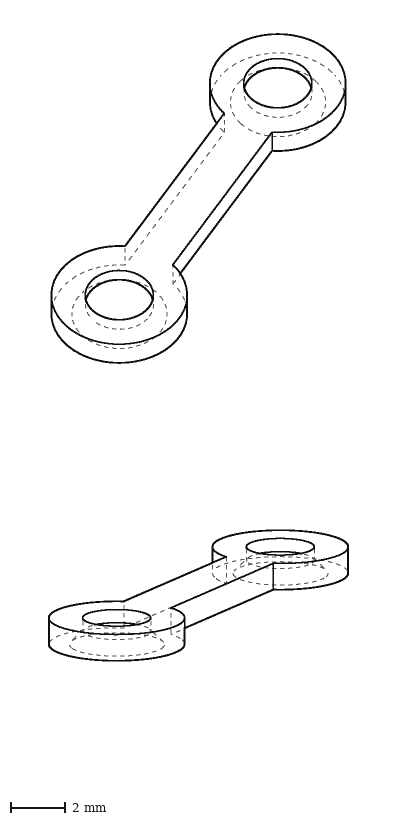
import cadquery as cq

length = 17.25
ring_diameter = 5.0
hole_diameter = 2.5
countersink_diameter = 3.5
bar_width = 2.0
thickness = 1.0

countersink_depth = thickness / 2

ring_spacing = length - ring_diameter
ring_centres = [(0, -ring_spacing / 2), (0, ring_spacing / 2)]


def countersunk_hole(centre):
    """Through hole with a conical countersink opening on the underside."""
    base = cq.Workplane("XY").center(*centre)
    hole = base.circle(hole_diameter / 2).extrude(thickness)
    cone = (
        cq.Workplane("XY")
        .center(*centre)
        .circle(countersink_diameter / 2)
        .workplane(offset=countersink_depth)
        .circle(hole_diameter / 2)
        .loft()
    )
    return hole.union(cone)


bar = cq.Workplane("XY").rect(bar_width, ring_spacing).extrude(thickness)
ends = cq.Workplane("XY").pushPoints(ring_centres).circle(ring_diameter / 2).extrude(thickness)
result = bar.union(ends)

for ring_centre in ring_centres:
    result = result.cut(countersunk_hole(ring_centre))